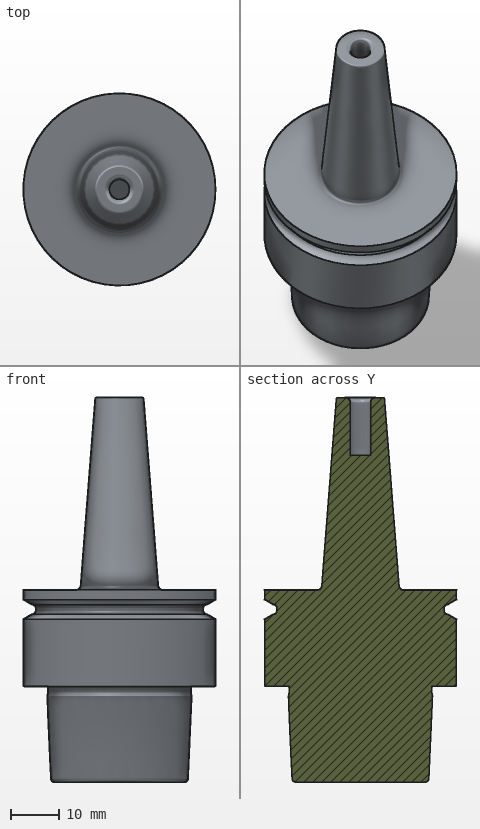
import cadquery as cq
import math

total_height = 79.9
flange_top = 39.95
body_bottom = 19.9

flange_radius = 20.0
flange_edge_round = 0.3
groove_top = 37.95
groove_bottom = 33.9
groove_floor_radius = 17.4
groove_wall_angle = 30.0
groove_corner_round = 0.7

neck_radius = 14.9
neck_bottom = 18.7
taper_top_radius = 15.0
taper_top = 17.9
taper_bottom_radius = 14.2
shank_end_round = 0.9

nose_base_radius = 8.1
nose_tip_radius = 5.0
nose_root_round = 0.95
nose_tip_round = 0.4

hole_radius = 2.1
hole_depth = 12.0
hole_mouth_round = 1.0


def revolve_profile(profile):
    """Turn a closed (radius, height) outline about the Z axis."""
    return profile.close().revolve(360, (0, 0, 0), (0, 1, 0))


def make_shank():
    profile = (
        cq.Workplane("XZ")
        .lineTo(taper_bottom_radius, 0)
        .lineTo(taper_top_radius, taper_top)
        .lineTo(neck_radius, neck_bottom)
        .lineTo(neck_radius, body_bottom)
        .lineTo(0, body_bottom)
    )
    return revolve_profile(profile).faces("<Z").edges().fillet(shank_end_round)


def make_flange():
    height = flange_top - body_bottom
    blank = cq.Workplane("XY").workplane(offset=body_bottom).circle(flange_radius).extrude(height)
    return blank.faces("<Z").edges().fillet(flange_edge_round)


def make_groove():
    shoulder_radius = groove_floor_radius + groove_corner_round
    wall_rise = (flange_radius - shoulder_radius) * math.tan(math.radians(groove_wall_angle))
    lower_shoulder = groove_bottom + wall_rise
    upper_shoulder = groove_top - wall_rise
    profile = (
        cq.Workplane("XZ")
        .moveTo(flange_radius, groove_bottom)
        .lineTo(shoulder_radius, lower_shoulder)
        .radiusArc((groove_floor_radius, lower_shoulder + groove_corner_round), groove_corner_round)
        .lineTo(groove_floor_radius, upper_shoulder - groove_corner_round)
        .radiusArc((shoulder_radius, upper_shoulder), groove_corner_round)
        .lineTo(flange_radius, groove_top)
    )
    return revolve_profile(profile)


def make_nose():
    profile = (
        cq.Workplane("XZ")
        .moveTo(0, flange_top)
        .lineTo(nose_base_radius + nose_root_round, flange_top)
        .radiusArc((nose_base_radius, flange_top + nose_root_round), nose_root_round)
        .lineTo(nose_tip_radius, total_height)
        .lineTo(0, total_height)
    )
    return revolve_profile(profile).faces(">Z").edges().fillet(nose_tip_round)


def make_tip_hole():
    profile = (
        cq.Workplane("XZ")
        .moveTo(0, total_height)
        .lineTo(hole_radius + hole_mouth_round, total_height)
        .radiusArc((hole_radius, total_height - hole_mouth_round), -hole_mouth_round)
        .lineTo(hole_radius, total_height - hole_depth)
        .lineTo(0, total_height - hole_depth)
    )
    return revolve_profile(profile)


flange = make_flange().cut(make_groove())
result = make_shank().union(flange).union(make_nose()).cut(make_tip_hole())